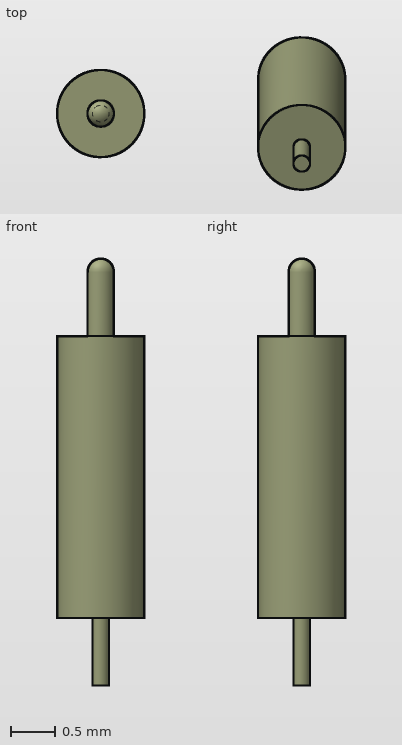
import cadquery as cq

total_length = 4.82
barrel_diameter = 0.99
barrel_length = 3.18
tail_diameter = 0.19
tail_length = 0.76
plunger_diameter = 0.3

tail_bottom = -total_length / 2
barrel_bottom = tail_bottom + tail_length
barrel_top = barrel_bottom + barrel_length
plunger_tip = total_length / 2


def make_barrel():
    """Cylindrical barrel with a thin solder tail below it."""
    barrel = (
        cq.Workplane("XY", origin=(0, 0, barrel_bottom))
        .circle(barrel_diameter / 2)
        .extrude(barrel_length)
    )
    tail = (
        cq.Workplane("XY", origin=(0, 0, tail_bottom))
        .circle(tail_diameter / 2)
        .extrude(tail_length)
    )
    return barrel.union(tail)


def make_plunger():
    """Round contact pin standing on the barrel, with a hemispherical tip."""
    radius = plunger_diameter / 2
    shank_top = plunger_tip - radius
    shank = (
        cq.Workplane("XY", origin=(0, 0, barrel_top))
        .circle(radius)
        .extrude(shank_top - barrel_top)
    )
    tip = cq.Workplane("XY", origin=(0, 0, shank_top)).sphere(radius)
    return shank.union(tip)


barrel = make_barrel()
plunger = make_plunger()

result = cq.Compound.makeCompound([barrel.val(), plunger.val()])